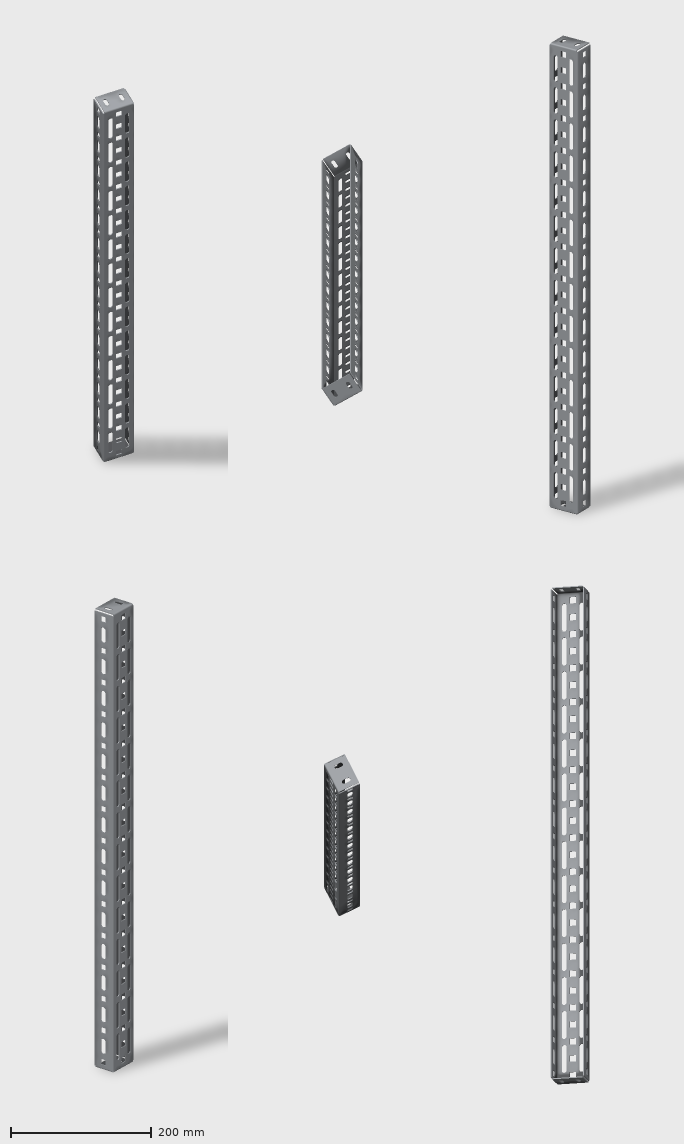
import cadquery as cq

length = 724.0
width = 49.0
depth = 33.0

sheet = 1.5
bend_radius = 2.0
wall_length = 718.0

flange_width = 45.0
flange_slot_length = 13.0
flange_slot_width = 6.0
flange_slot_offset = 12.0

pitch = 50.0
pitch_count = 14
hole_line_x = -1.1
side_hole_width = 9.0
web_square = 9.5
side_slot_length = 24.0
web_slot_length = 41.0
web_slot_width = 6.9
web_slot_offset = 13.0


def make_channel():
    """U-section with side walls stopping short of the end flanges."""
    outer = (
        cq.Workplane("XY").box(depth, width, wall_length)
        .edges("|Z and >X").fillet(bend_radius)
    )
    inner = (
        cq.Workplane("XY").box(depth, width - 2 * sheet, wall_length)
        .edges("|Z and >X").fillet(bend_radius - sheet)
        .translate((-sheet, 0, 0))
    )
    return outer.cut(inner)


def make_flanged_web():
    """Web strip whose two ends are bent over towards -X as slotted end flanges."""
    outer = (
        cq.Workplane("XY").box(depth, flange_width, length)
        .edges("|Y and >X").fillet(bend_radius)
    )
    inner = (
        cq.Workplane("XY").box(depth, flange_width, length - 2 * sheet)
        .edges("|Y and >X").fillet(bend_radius - sheet)
        .translate((-sheet, 0, 0))
    )
    slots = (
        cq.Workplane("XY", origin=(hole_line_x, 0, 0))
        .pushPoints([(0, -flange_slot_offset), (0, flange_slot_offset)])
        .slot2D(flange_slot_length, flange_slot_width).extrude(length / 2, both=True)
    )
    return outer.cut(inner).cut(slots)


def side_cutters(square_heights, slot_heights):
    """Square holes and slots through both side walls."""
    plane = cq.Workplane("XZ", origin=(hole_line_x, 0, 0))
    squares = (
        plane.pushPoints([(0, z) for z in square_heights])
        .rect(side_hole_width, side_hole_width).extrude(width, both=True)
    )
    slots = (
        plane.pushPoints([(0, z) for z in slot_heights])
        .slot2D(side_slot_length, side_hole_width, 90).extrude(width, both=True)
    )
    return [squares, slots]


def web_cutters(square_heights, slot_heights):
    """A centre row of square holes and two rows of slots through the web."""
    plane = cq.Workplane("YZ")
    squares = (
        plane.pushPoints([(0, z) for z in square_heights])
        .rect(web_square, web_square).extrude(depth)
    )
    slots = (
        plane.pushPoints([(y, z) for z in slot_heights for y in (-web_slot_offset, web_slot_offset)])
        .slot2D(web_slot_length, web_slot_width, 90).extrude(depth)
    )
    return [squares, slots]


row_start = -pitch * pitch_count / 2
node_heights = [row_start + pitch * i for i in range(pitch_count + 1)]
middle_heights = [row_start + pitch * (i + 0.5) for i in range(pitch_count)]

result = make_channel().union(make_flanged_web())
side_holes = side_cutters(node_heights, middle_heights)
web_holes = web_cutters(node_heights + middle_heights, middle_heights)
for cutter in side_holes + web_holes:
    result = result.cut(cutter)